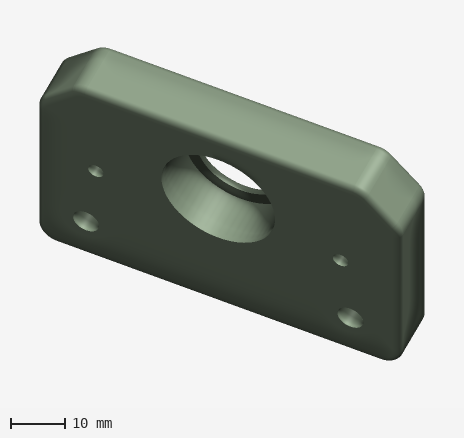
import cadquery as cq

width = 73.6
thickness = 12.0
height = 48.0

top_chamfer = 8.0
corner_radius = 4.0
edge_radius = 1.5

bore_height = 6.9
bore_diameter = 18.0
counterbore_diameter = 23.0
counterbore_depth = 10.0

small_hole_diameter = 3.2
small_hole_spacing = 49.6
small_hole_height = 1.9
large_hole_diameter = 5.3
large_hole_spacing = 53.6
large_hole_height = -14.05


def make_plate():
    """Plate with two cut top corners and all outer edges rounded."""
    half_width = width / 2
    half_height = height / 2
    outline = [
        (-half_width, -half_height),
        (half_width, -half_height),
        (half_width, half_height - top_chamfer),
        (half_width - top_chamfer, half_height),
        (-half_width + top_chamfer, half_height),
        (-half_width, half_height - top_chamfer),
    ]
    blank = cq.Workplane("XZ").polyline(outline).close().extrude(thickness / 2, both=True)
    rounded = blank.edges("|Y").fillet(corner_radius)
    return rounded.faces("<Y or >Y").edges().fillet(edge_radius)


def front_plane(plate_height):
    """Sketch plane on the front face, its local Z pointing toward -Y."""
    return cq.Workplane("XZ", origin=(0, -thickness / 2, plate_height))


def cut_hole_pair(body, diameter, spacing, hole_height):
    """Cut two through holes placed symmetrically about the YZ plane."""
    centres = [(-spacing / 2, 0), (spacing / 2, 0)]
    pins = front_plane(hole_height).pushPoints(centres).circle(diameter / 2).extrude(-thickness)
    return body.cut(pins)


def cut_stepped_bore(body):
    """Cut the through bore, round its rim on the back (+Y) face and cut the deep counterbore."""
    bore = front_plane(bore_height).circle(bore_diameter / 2).extrude(-thickness)
    counterbore = front_plane(bore_height).circle(counterbore_diameter / 2).extrude(-counterbore_depth)
    bored = body.cut(bore)
    back_rim = cq.selectors.RadiusNthSelector(-1)
    bored = bored.faces(">Y").edges("%CIRCLE").edges(back_rim).fillet(edge_radius)
    return bored.cut(counterbore)


result = make_plate()
result = cut_stepped_bore(result)
result = cut_hole_pair(result, small_hole_diameter, small_hole_spacing, small_hole_height)
result = cut_hole_pair(result, large_hole_diameter, large_hole_spacing, large_hole_height)